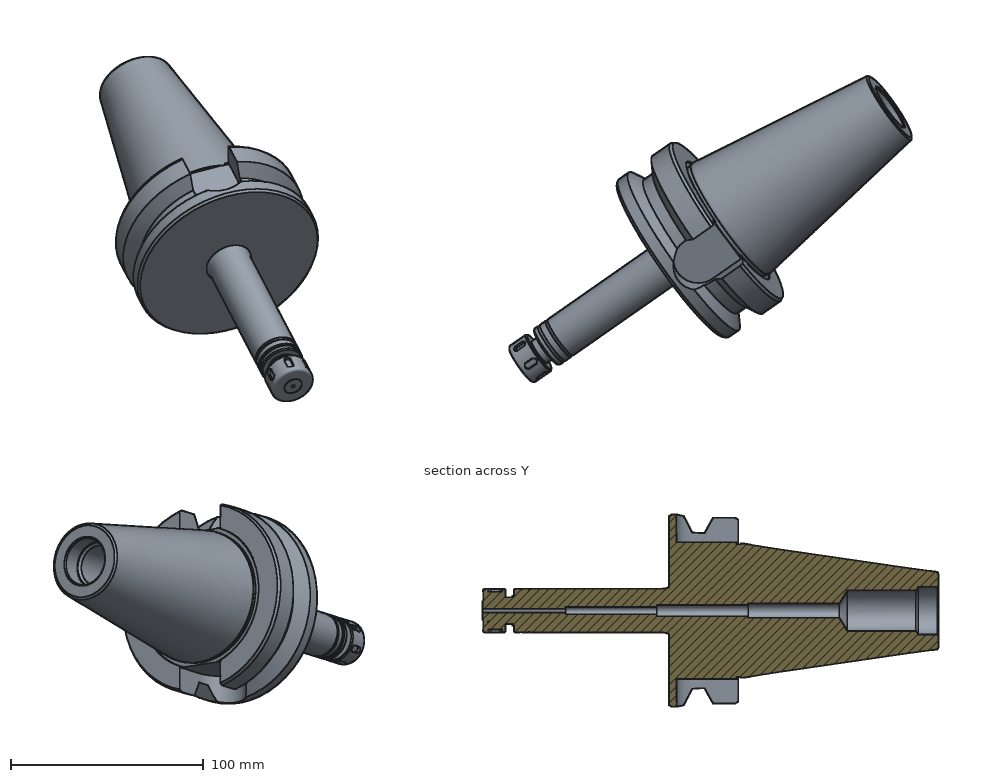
import cadquery as cq
import math

TOTAL_LENGTH = 236.8

GAUGE_RADIUS = 69.9 / 2
GAUGE_X = 101.8
TAPER_SLOPE = 7 / 48
TAPER_END_X = 101.4
RIM_END_X = 102.8
NECK_RADIUS = 34.5
SMALL_END_CHAMFER = 0.7
SMALL_END_FACE_RADIUS = 19.0

FLANGE_RADIUS = 50.0
FLANGE_START_X = 104.0
FLANGE_END_X = 140.0
SHANK_SIDE_CHAMFER_LENGTH = 1.7
NOSE_SIDE_CHAMFER_LENGTH = 1.5
FLANGE_CHAMFER_HEIGHT = 1.0
FACE_RECESS_RADIUS = 37.2
FACE_RECESS_DEPTH = 1.0

GROOVE_FLOOR_RADIUS = 42.5
GROOVE_FLOOR_START_X = 121.5
GROOVE_FLOOR_END_X = 127.9
GROOVE_HALF_ANGLE = 30
GROOVE_FLANK = (FLANGE_RADIUS - GROOVE_FLOOR_RADIUS) * math.tan(math.radians(GROOVE_HALF_ANGLE))

SLOT_WIDTH = 25.8
SLOT_FLOOR_Z = 35.5
SLOT_END_X = 136.0

NOSE_RADIUS = 23.0 / 2
ROOT_RADIUS = 12.3
ROOT_LENGTH = 3.0
CUT_START_X = 211.2
CUT_END_X = 212.6
CUT_DEPTH = 0.5
RING_START_X = 216.2
RING_END_X = 217.6
RING_DEPTH = 0.2
NOSE_END_X = 220.5
NOSE_END_CHAMFER = 0.7
SHOULDER_RADIUS = 7.8
SHOULDER_LENGTH = 0.7
NOSE_NECK_RADIUS = 14.0 / 2

NUT_START_X = 224.7
NUT_END_X = 236.5
NUT_CHAMFER = 0.7
NUT_FRONT_FILLET = 1.5
COLLET_RADIUS = 9.7 / 2
NOTCH_COUNT = 6
NOTCH_X = 230.2
NOTCH_LENGTH = 7.0
NOTCH_STRAIGHT_LENGTH = 4.7
NOTCH_WIDTH = 3.5
NOTCH_DEPTH = 1.7

BORE_MOUTH_RADIUS = 13.0
BORE_MOUTH_CHAMFER = 0.7
PILOT_DEPTH = 10.7
THREAD_MOUTH_RADIUS = 11.8
THREAD_RADIUS = 21.0 / 2
THREAD_END_X = 47.4
DRILL_POINT_ANGLE = 118
COOLANT_DIAMETERS = (7.3, 5.7, 3.5)
COOLANT_STEP_LENGTH = 47.4
OUTLET_DIAMETER = 1.7


def taper_radius(x):
    return GAUGE_RADIUS - (GAUGE_X - x) * TAPER_SLOPE


def revolve_profile(profile):
    return profile.close().revolve(360, (0, 0, 0), (1, 0, 0))


def make_shank_and_flange():
    chamfer_radius = FLANGE_RADIUS - FLANGE_CHAMFER_HEIGHT
    profile = (
        cq.Workplane("XY")
        .lineTo(0, SMALL_END_FACE_RADIUS)
        .lineTo(SMALL_END_CHAMFER, taper_radius(SMALL_END_CHAMFER))
        .lineTo(TAPER_END_X, GAUGE_RADIUS)
        .lineTo(RIM_END_X, GAUGE_RADIUS)
        .lineTo(RIM_END_X, NECK_RADIUS)
        .lineTo(FLANGE_START_X + FACE_RECESS_DEPTH, NECK_RADIUS)
        .lineTo(FLANGE_START_X + FACE_RECESS_DEPTH, FACE_RECESS_RADIUS)
        .lineTo(FLANGE_START_X, FACE_RECESS_RADIUS)
        .lineTo(FLANGE_START_X, chamfer_radius)
        .lineTo(FLANGE_START_X + SHANK_SIDE_CHAMFER_LENGTH, FLANGE_RADIUS)
        .lineTo(GROOVE_FLOOR_START_X - GROOVE_FLANK, FLANGE_RADIUS)
        .lineTo(GROOVE_FLOOR_START_X, GROOVE_FLOOR_RADIUS)
        .lineTo(GROOVE_FLOOR_END_X, GROOVE_FLOOR_RADIUS)
        .lineTo(GROOVE_FLOOR_END_X + GROOVE_FLANK, FLANGE_RADIUS)
        .lineTo(FLANGE_END_X - NOSE_SIDE_CHAMFER_LENGTH, FLANGE_RADIUS)
        .lineTo(FLANGE_END_X, chamfer_radius)
        .lineTo(FLANGE_END_X, 0)
    )
    return revolve_profile(profile)


def make_nose():
    root_rise = ROOT_RADIUS - NOSE_RADIUS
    root_arc_radius = (ROOT_LENGTH**2 + root_rise**2) / (2 * root_rise)
    root_end_x = FLANGE_END_X + ROOT_LENGTH
    root_mid_x = root_end_x - ROOT_LENGTH / 2
    root_mid_height = root_arc_radius - math.sqrt(root_arc_radius**2 - (ROOT_LENGTH / 2) ** 2)
    root_mid_radius = NOSE_RADIUS + root_mid_height
    shoulder_end_x = NOSE_END_X + SHOULDER_LENGTH
    profile = (
        cq.Workplane("XY")
        .moveTo(FLANGE_END_X, 0)
        .lineTo(FLANGE_END_X, ROOT_RADIUS)
        .threePointArc((root_mid_x, root_mid_radius), (root_end_x, NOSE_RADIUS))
        .lineTo(CUT_START_X, NOSE_RADIUS)
        .lineTo(CUT_END_X, NOSE_RADIUS - CUT_DEPTH)
        .lineTo(CUT_END_X, NOSE_RADIUS)
        .lineTo(RING_START_X, NOSE_RADIUS)
        .lineTo(RING_START_X, NOSE_RADIUS - RING_DEPTH)
        .lineTo(RING_END_X, NOSE_RADIUS - RING_DEPTH)
        .lineTo(RING_END_X, NOSE_RADIUS)
        .lineTo(NOSE_END_X - NOSE_END_CHAMFER, NOSE_RADIUS)
        .lineTo(NOSE_END_X, NOSE_RADIUS - NOSE_END_CHAMFER)
        .lineTo(NOSE_END_X, SHOULDER_RADIUS)
        .lineTo(shoulder_end_x, SHOULDER_RADIUS)
        .lineTo(shoulder_end_x, NOSE_NECK_RADIUS)
        .lineTo(NUT_START_X, NOSE_NECK_RADIUS)
        .lineTo(NUT_START_X, NOSE_RADIUS - NUT_CHAMFER)
        .lineTo(NUT_START_X + NUT_CHAMFER, NOSE_RADIUS)
        .lineTo(NUT_END_X - NUT_FRONT_FILLET, NOSE_RADIUS)
        .radiusArc((NUT_END_X, NOSE_RADIUS - NUT_FRONT_FILLET), NUT_FRONT_FILLET)
        .lineTo(NUT_END_X, COLLET_RADIUS)
        .lineTo(TOTAL_LENGTH, COLLET_RADIUS)
        .lineTo(TOTAL_LENGTH, 0)
    )
    return revolve_profile(profile)


def make_bore():
    hole_radius = COOLANT_DIAMETERS[0] / 2
    point_length = (THREAD_RADIUS - hole_radius) / math.tan(math.radians(DRILL_POINT_ANGLE / 2))
    pilot_radius = BORE_MOUTH_RADIUS - BORE_MOUTH_CHAMFER
    thread_chamfer = THREAD_MOUTH_RADIUS - THREAD_RADIUS
    profile = (
        cq.Workplane("XY")
        .lineTo(0, BORE_MOUTH_RADIUS)
        .lineTo(BORE_MOUTH_CHAMFER, pilot_radius)
        .lineTo(PILOT_DEPTH, pilot_radius)
        .lineTo(PILOT_DEPTH, THREAD_MOUTH_RADIUS)
        .lineTo(PILOT_DEPTH + thread_chamfer, THREAD_RADIUS)
        .lineTo(THREAD_END_X, THREAD_RADIUS)
    )
    step_x = THREAD_END_X + point_length
    for diameter in COOLANT_DIAMETERS:
        profile = profile.lineTo(step_x, diameter / 2)
        step_x += COOLANT_STEP_LENGTH
        profile = profile.lineTo(step_x, diameter / 2)
    profile = (
        profile.lineTo(step_x, OUTLET_DIAMETER / 2)
        .lineTo(TOTAL_LENGTH, OUTLET_DIAMETER / 2)
        .lineTo(TOTAL_LENGTH, 0)
    )
    return revolve_profile(profile)


def make_drive_slot():
    arc_center_x = SLOT_END_X - SLOT_WIDTH / 2
    start_x = RIM_END_X
    half_width = SLOT_WIDTH / 2
    return (
        cq.Workplane("XY", origin=(0, 0, SLOT_FLOOR_Z))
        .moveTo(start_x, -half_width)
        .lineTo(arc_center_x, -half_width)
        .threePointArc((SLOT_END_X, 0), (arc_center_x, half_width))
        .lineTo(start_x, half_width)
        .close()
        .extrude(FLANGE_RADIUS - SLOT_FLOOR_Z)
    )


def make_notch():
    end_x = NOTCH_LENGTH / 2
    corner_x = NOTCH_STRAIGHT_LENGTH / 2
    corner_y = NOTCH_WIDTH / 2
    return (
        cq.Workplane("XY", origin=(NOTCH_X, 0, NOSE_RADIUS - NOTCH_DEPTH))
        .moveTo(-corner_x, -corner_y)
        .lineTo(corner_x, -corner_y)
        .threePointArc((end_x, 0), (corner_x, corner_y))
        .lineTo(-corner_x, corner_y)
        .threePointArc((-end_x, 0), (-corner_x, -corner_y))
        .close()
        .extrude(2 * NOTCH_DEPTH)
    )


result = make_shank_and_flange().union(make_nose()).cut(make_bore())
for angle in (0, 180):
    result = result.cut(make_drive_slot().rotate((0, 0, 0), (1, 0, 0), angle))
for index in range(NOTCH_COUNT):
    result = result.cut(make_notch().rotate((0, 0, 0), (1, 0, 0), index * 360 / NOTCH_COUNT))